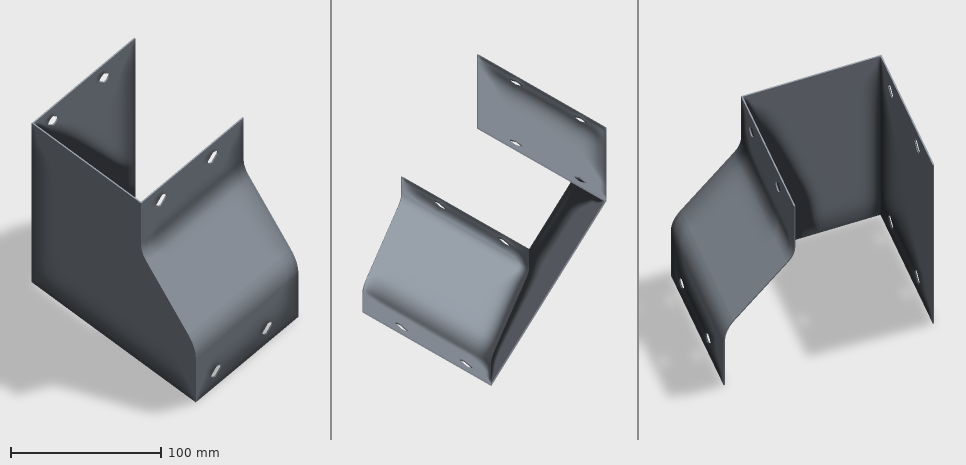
import cadquery as cq
import math

HEIGHT = 170.0
DEPTH = 100.0
TOP_WIDTH = 100.0
BASE_WIDTH = 150.0
THICKNESS = 1.0

SLOPE_ANGLE = 50.0
SHOULDER_Z = 118.0
INNER_BEND_RADIUS = 20.0
OUTER_BEND_RADIUS = 30.0

SLOT_LENGTH = 10.0
SLOT_WIDTH = 7.0
SLOT_TILT = 45.0
SLOT_FRONT_OFFSET = 20.0
SLOT_SPACING = 50.0
SLOT_END_OFFSET = 15.0


def shoulder_profile(inset, depth):
    """Prism of the front outline, with its two side walls moved inward by inset."""
    slope = math.radians(SLOPE_ANGLE)
    corner_drop = inset * math.tan((math.pi / 2 - slope) / 2)
    top_right = TOP_WIDTH - inset
    base_right = BASE_WIDTH - inset
    upper_z = SHOULDER_Z - corner_drop
    lower_z = upper_z - (BASE_WIDTH - TOP_WIDTH) * math.tan(slope)
    outline = [
        (inset, 0),
        (base_right, 0),
        (base_right, lower_z),
        (top_right, upper_z),
        (top_right, HEIGHT),
        (inset, HEIGHT),
    ]
    body = cq.Workplane("XZ").polyline(outline).close().extrude(-depth)
    upper_corner = cq.NearestToPointSelector((top_right, depth / 2, upper_z))
    lower_corner = cq.NearestToPointSelector((base_right, depth / 2, lower_z))
    body = body.edges("|Y").edges(upper_corner).fillet(INNER_BEND_RADIUS + inset)
    return body.edges("|Y").edges(lower_corner).fillet(OUTER_BEND_RADIUS - inset)


def wall_slots(start_x, end_x, tilt):
    """Cutters for the four slots between start_x and end_x."""
    centers = [
        (y, z)
        for y in (SLOT_FRONT_OFFSET, SLOT_FRONT_OFFSET + SLOT_SPACING)
        for z in (SLOT_END_OFFSET, HEIGHT - SLOT_END_OFFSET)
    ]
    radius = SLOT_LENGTH / 2
    half_width = SLOT_WIDTH / 2
    half_flat = math.sqrt(radius**2 - half_width**2)
    slot = (
        cq.Workplane("YZ", origin=(start_x, 0, 0))
        .moveTo(-half_flat, -half_width)
        .lineTo(half_flat, -half_width)
        .threePointArc((radius, 0), (half_flat, half_width))
        .lineTo(-half_flat, half_width)
        .threePointArc((-radius, 0), (-half_flat, -half_width))
        .close()
        .extrude(end_x - start_x)
        .rotate((0, 0, 0), (1, 0, 0), tilt)
    )
    cutters = cq.Workplane("YZ")
    for y, z in centers:
        cutters = cutters.add(slot.translate((0, y, z)))
    return cutters.combine()


cavity = shoulder_profile(THICKNESS, DEPTH).translate((0, THICKNESS, 0))
shell = shoulder_profile(0, DEPTH).cut(cavity)

middle_x = TOP_WIDTH / 2
left_slots = wall_slots(0, middle_x, -SLOT_TILT)
right_slots = wall_slots(middle_x, BASE_WIDTH, SLOT_TILT)

result = shell.cut(left_slots).cut(right_slots)